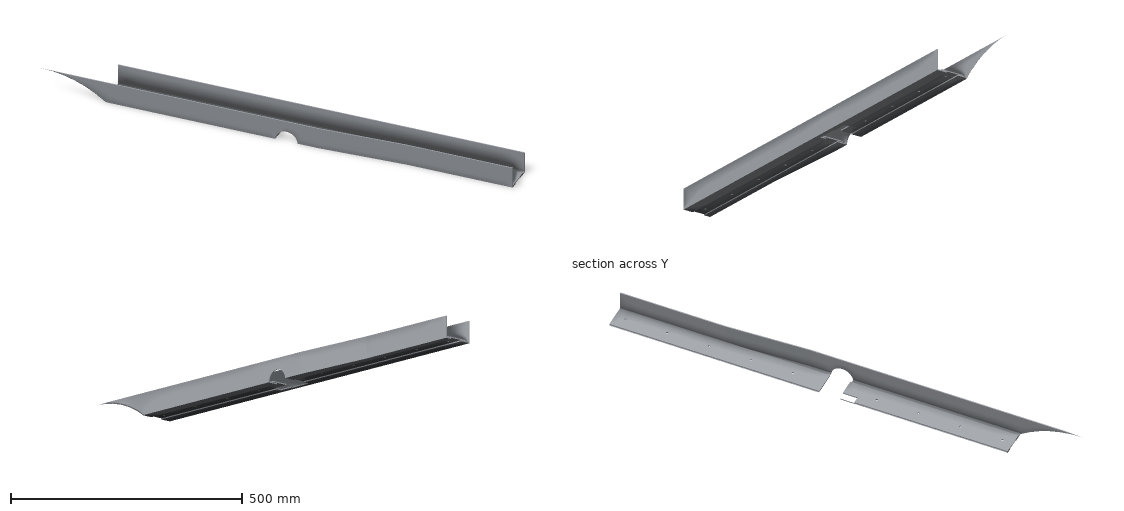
import cadquery as cq

total_length = 1100.0
width = 80.0
height = 50.0
thickness = 2.5

nose_length = 150.0
nose_bevel = 3.0
lip_width = 25.0
taper_start = 650.0
taper_end = 850.0
taper_shift = 10.0

plate_margin = taper_shift + thickness
hole_diameter = 5.0
hole_inset = 25.0
hole_count = 10
hole_pitch = (total_length - nose_length - 2 * hole_inset) / (hole_count - 1)

opening_place = 4
opening_x = nose_length + hole_inset + opening_place * hole_pitch
plate_gap = 48.0
arch_radius = 26.0
arch_drop = 2.0
back_lip_rest = 10.0
notch_reach = 59.0
notch_depth = 16.0

front_y = -width / 2
back_y = width / 2
plate_back_y = back_y - plate_margin


def block(x_range, y_range, z_range):
    """Axis-aligned block between the given limits."""
    size = [end - start for start, end in (x_range, y_range, z_range)]
    corner = (x_range[0], y_range[0], z_range[0])
    return cq.Workplane("XY").box(*size, centered=False).translate(corner)


def front_wall_cutter(x, z, inner_radius, outer_radius):
    """Round cutter through the front wall, from its inner face to its outer face."""
    inner_face = cq.Workplane("XZ", origin=(x, front_y + thickness, z))
    return inner_face.circle(inner_radius).workplane(offset=thickness).circle(outer_radius).loft(ruled=True)


def front_angle():
    """Front wall that steps inward along a slanted stretch, with its lip."""
    shifted_y = front_y + taper_shift
    outer_line = [(0, front_y), (taper_start, front_y), (taper_end, shifted_y), (total_length, shifted_y)]
    inner_line = [(x, y + thickness) for x, y in reversed(outer_line)]
    wall = cq.Workplane("XY").polyline(outer_line + inner_line).close().extrude(height)

    lip_edge_y = front_y + lip_width
    lip_outline = [
        (nose_length, front_y),
        *outer_line[1:],
        (total_length, lip_edge_y),
        (nose_length, lip_edge_y),
    ]
    lip = cq.Workplane("XY").polyline(lip_outline).close().extrude(thickness)
    return wall.union(lip)


def nose_cutter():
    """Arc tangent to the top edge at the tip, growing toward the outer face as a bevel."""
    radius = (nose_length**2 + height**2) / (2 * height)
    return front_wall_cutter(0, height - radius, radius, radius + nose_bevel)


def back_angle():
    """Straight back wall with its lip."""
    along = (nose_length, total_length)
    wall = block(along, (back_y - thickness, back_y), (0, height))
    lip = block(along, (back_y - lip_width, back_y), (0, thickness))
    return wall.union(lip)


def floor_plate():
    """Drilled plate on top of the lips."""
    along = (nose_length, total_length)
    plate = block(along, (-plate_back_y, plate_back_y), (thickness, 2 * thickness))
    first_hole_x = nose_length + hole_inset
    hole_points = [(first_hole_x + i * hole_pitch, 0) for i in range(hole_count)]
    holes = cq.Workplane("XY").pushPoints(hole_points).circle(hole_diameter / 2).extrude(height)
    return plate.cut(holes)


def opening_cutters():
    """Gap in the plate, wider gap in the lips, corner notch and arch in the front wall."""
    plate_half = plate_gap / 2
    floor_top = 2 * thickness
    plate_cut = block(
        (opening_x - plate_half, opening_x + plate_half),
        (-plate_back_y, plate_back_y),
        (0, floor_top),
    )
    lip_cut = block(
        (opening_x - arch_radius, opening_x + arch_radius),
        (front_y, back_y - back_lip_rest),
        (0, thickness),
    )
    notch = block(
        (opening_x - notch_reach, opening_x),
        (plate_back_y - notch_depth, plate_back_y),
        (0, floor_top),
    )
    arch = front_wall_cutter(opening_x, -arch_drop, arch_radius, arch_radius)
    return plate_cut.union(lip_cut).union(notch).union(arch)


channel = front_angle().cut(nose_cutter()).union(back_angle()).union(floor_plate())
result = channel.cut(opening_cutters())